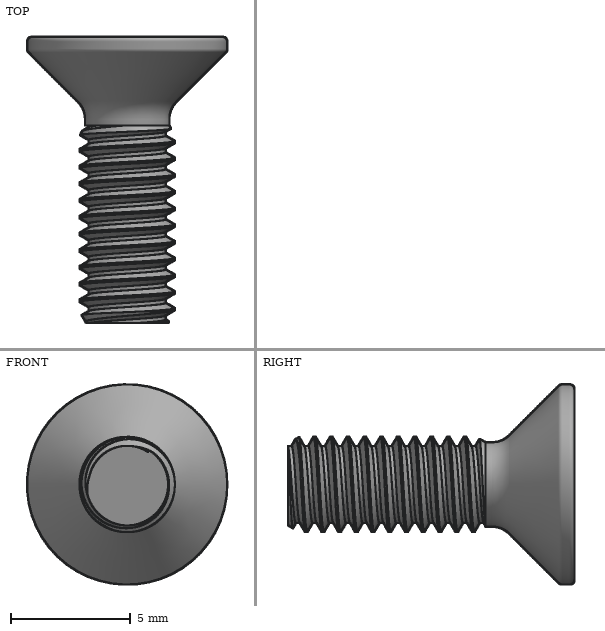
import cadquery as cq
import math

length = 12.0
head_radius = 4.2
rim_height = 0.52
edge_radius = 0.2
neck_radius = 1.78
neck_fillet = 1.0
neck_end_depth = 3.72

major_radius = length / 6
pitch_to_diameter = 0.7 / 4
pitch = 2 * major_radius * pitch_to_diameter
root_radius = 1.62
flank_angle = math.radians(30)
crest_width = pitch / 8
groove_offset = 0.24
lead_in_length = 0.45
tip_radius = 1.72
tip_taper_angle = math.radians(30)

cone_angle = math.radians(45)
plug_radius = root_radius / 2
plug_length = 0.6
groove_margin = 0.04
seam_angle = 37
runout_turns = 2


def arc_mid(center, radius, start, end):
    """Midpoint of a circular arc in the profile plane."""
    angle = (start + end) / 2
    return center[0] + radius * math.cos(angle), center[1] + radius * math.sin(angle)


def revolve_profile(profile):
    """Close a half profile and turn it about the screw axis."""
    return profile.close().revolve(360, (0, 0, 0), (0, 1, 0))


def make_head():
    """Countersunk head, filleted neck and a plug joining it to the thread core."""
    rim_bottom = length - rim_height
    top_center = (head_radius - edge_radius, length - edge_radius)
    low_center = (head_radius - edge_radius, rim_bottom)
    cone_top = (
        low_center[0] + edge_radius * math.cos(cone_angle),
        low_center[1] - edge_radius * math.sin(cone_angle),
    )
    cone_bottom_radius = neck_radius + neck_fillet * (1 - math.cos(cone_angle))
    cone_height = (cone_top[0] - cone_bottom_radius) / math.tan(cone_angle)
    cone_bottom = (cone_bottom_radius, cone_top[1] - cone_height)
    fillet_bottom = cone_bottom[1] - neck_fillet * math.sin(cone_angle)
    fillet_center = (neck_radius + neck_fillet, fillet_bottom)
    neck_bottom = length - neck_end_depth
    plug_bottom = neck_bottom - plug_length
    return revolve_profile(
        cq.Workplane("XZ")
        .moveTo(0, length)
        .lineTo(top_center[0], length)
        .threePointArc(arc_mid(top_center, edge_radius, math.pi / 2, 0), (head_radius, top_center[1]))
        .lineTo(head_radius, rim_bottom)
        .threePointArc(arc_mid(low_center, edge_radius, 0, -cone_angle), cone_top)
        .lineTo(*cone_bottom)
        .threePointArc(
            arc_mid(fillet_center, neck_fillet, math.pi - cone_angle, math.pi),
            (neck_radius, fillet_bottom),
        )
        .lineTo(neck_radius, neck_bottom)
        .lineTo(plug_radius, neck_bottom)
        .lineTo(plug_radius, plug_bottom)
        .lineTo(0, plug_bottom)
    )


def make_groove_turn(height):
    """One turn of the thread groove, its centre starting at the given height on the +X side."""
    mouth_half = (pitch - crest_width) / 2
    root_half = mouth_half - (major_radius - root_radius) * math.tan(flank_angle)
    outer_half = mouth_half + groove_margin * math.tan(flank_angle)
    outer_radius = major_radius + groove_margin
    section = [
        (root_radius, height - root_half),
        (outer_radius, height - outer_half),
        (outer_radius, height + outer_half),
        (root_radius, height + root_half),
    ]
    edges = [
        cq.Wire.makeHelix(pitch, pitch, radius).translate(cq.Vector(0, 0, z))
        for radius, z in section
    ]
    faces = [
        cq.Face.makeRuledSurface(edge, following)
        for edge, following in zip(edges, edges[1:] + edges[:1])
    ]
    for position in (0, 1):
        corners = [edge.positionAt(position) for edge in edges]
        faces.append(cq.Face.makeFromWires(cq.Wire.makePolygon(corners, close=True)))
    return cq.Solid.makeSolid(cq.Shell.makeShell(faces))


def make_thread():
    """Shank tapered at both ends, with a right-hand helical groove."""
    top = length - neck_end_depth
    tip_taper_length = (major_radius - tip_radius) / math.tan(tip_taper_angle)
    shank = revolve_profile(
        cq.Workplane("XZ")
        .lineTo(tip_radius, 0)
        .lineTo(major_radius, tip_taper_length)
        .lineTo(major_radius, top - lead_in_length)
        .lineTo(neck_radius, top)
        .lineTo(0, top)
    )

    shank = shank.val().rotate(cq.Vector(0, 0, 0), cq.Vector(0, 0, 1), seam_angle)
    last_turn = math.floor((top - groove_offset) / pitch) + 1
    for turn in range(-runout_turns, last_turn + 1):
        shank = shank.cut(make_groove_turn(groove_offset + turn * pitch))
    return shank


screw = make_head().union(cq.Workplane(make_thread()))
result = screw.translate((0, 0, -length)).rotate((0, 0, 0), (1, 0, 0), -90)